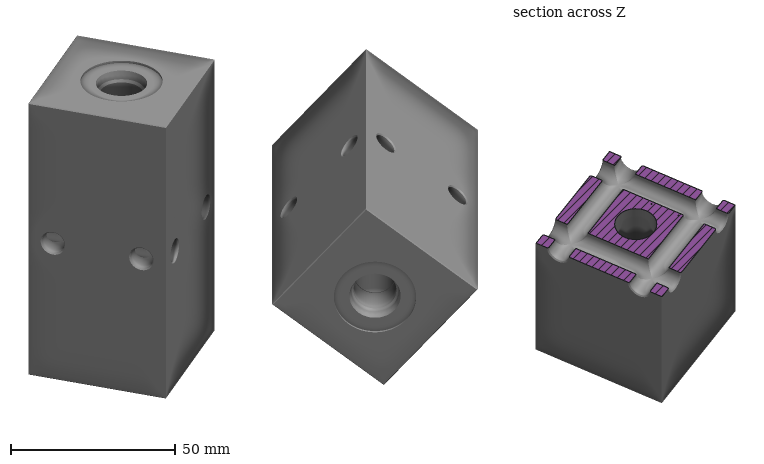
import cadquery as cq

width = 44.5
height = 95.25
end_chamfer = 0.3

bore_diameter = 12.7
spotface_diameter = 25.05
spotface_depth = 0.8
seat_mouth_diameter = 15.6
seat_floor_diameter = 14.4
seat_depth = 2.7
lead_in_depth = 0.8
thread_hole_diameter = 13.05
thread_hole_depth = 13.3

cross_hole_diameter = 7.1
cross_hole_spacing = 28.6
cross_hole_chamfer = 0.4


def revolved_port():
    """Solid of revolution about Z that cuts the port into the top end."""
    top = height / 2
    spotface_floor = top - spotface_depth
    seat_floor = spotface_floor - seat_depth
    thread_top = seat_floor - lead_in_depth
    thread_floor = top - thread_hole_depth
    profile = (
        cq.Workplane("XZ")
        .moveTo(0, top)
        .lineTo(spotface_diameter / 2, top)
        .lineTo(spotface_diameter / 2, spotface_floor)
        .lineTo(seat_mouth_diameter / 2, spotface_floor)
        .lineTo(seat_floor_diameter / 2, seat_floor)
        .lineTo(thread_hole_diameter / 2, thread_top)
        .lineTo(thread_hole_diameter / 2, thread_floor)
        .lineTo(0, thread_floor)
        .close()
    )
    return profile.revolve(360, (0, 0, 0), (0, 1, 0))


def cross_hole(offset):
    """Cutter along Y at the given X offset, flared to a chamfer at both mouths."""
    radius = cross_hole_diameter / 2
    mouth_radius = radius + cross_hole_chamfer
    side = width / 2
    profile = (
        cq.Workplane("XY")
        .moveTo(offset, -side)
        .lineTo(offset + mouth_radius, -side)
        .lineTo(offset + radius, -side + cross_hole_chamfer)
        .lineTo(offset + radius, side - cross_hole_chamfer)
        .lineTo(offset + mouth_radius, side)
        .lineTo(offset, side)
        .close()
    )
    return profile.revolve(360, (offset, 0, 0), (offset, 1, 0))


block = cq.Workplane("XY").box(width, width, height)
block = block.faces("<Z or >Z").chamfer(end_chamfer)

bore = cq.Workplane("XY").circle(bore_diameter / 2).extrude(height / 2, both=True)
top_port = revolved_port()
bottom_port = top_port.mirror("XY")
result = block.cut(bore).cut(top_port).cut(bottom_port)

for offset in (-cross_hole_spacing / 2, cross_hole_spacing / 2):
    hole = cross_hole(offset)
    result = result.cut(hole)
    result = result.cut(hole.rotate((0, 0, 0), (0, 0, 1), 90))